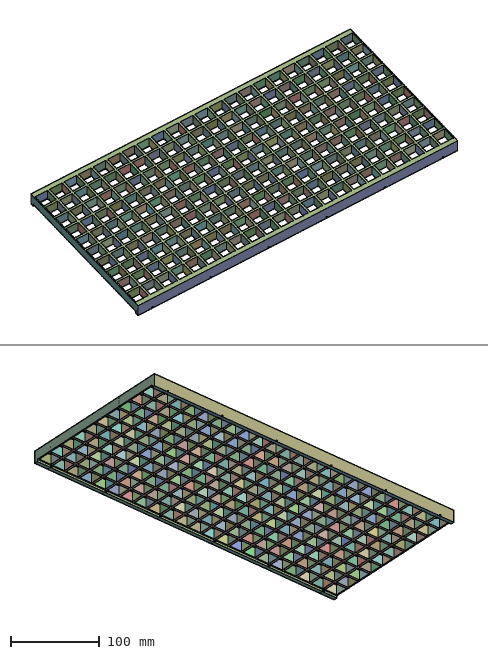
import cadquery as cq

length = 440.0
width = 210.0
height = 16.5

cells_along = 22
cells_across = 10
pitch = length / cells_along
bar_width = 3.0
grid_depth = 13.0

rail_width = 5.0

pin_count = 6
pin_spacing = 4 * pitch
pin_diameter = 1.8
pin_height = 1.1
pin_reach = 7.0
pin_recess = 0.5

side_x = width / 2


def make_grid():
    """Flat panel with a square opening in every cell, leaving half-width bars at both ends."""
    opening = pitch - bar_width
    return (
        cq.Workplane("XY")
        .workplane(offset=height - grid_depth)
        .rect(width, length)
        .rarray(pitch, pitch, cells_across, cells_along)
        .rect(opening, opening)
        .extrude(grid_depth)
    )


def make_pin_row(x_start, x_end):
    """Row of evenly spaced cylinders low in the -X rail, between two X limits."""
    return (
        cq.Workplane("YZ", origin=(x_start, 0, pin_height))
        .rarray(pin_spacing, 4.5, pin_count, 1)
        .circle(pin_diameter / 2)
        .extrude(x_end - x_start)
    )


def make_rail():
    """Rail along the -X side, with its pins set slightly below the outer face."""
    bar = (
        cq.Workplane("XY")
        .center(-side_x + rail_width / 2, 0)
        .rect(rail_width, length)
        .extrude(height)
    )
    pin_end_x = -side_x + pin_recess
    recesses = make_pin_row(-side_x, pin_end_x)
    pins = make_pin_row(pin_end_x, -side_x + pin_reach)
    return bar.cut(recesses).union(pins)


rail = make_rail()
result = make_grid().union(rail).union(rail.mirror("YZ"))